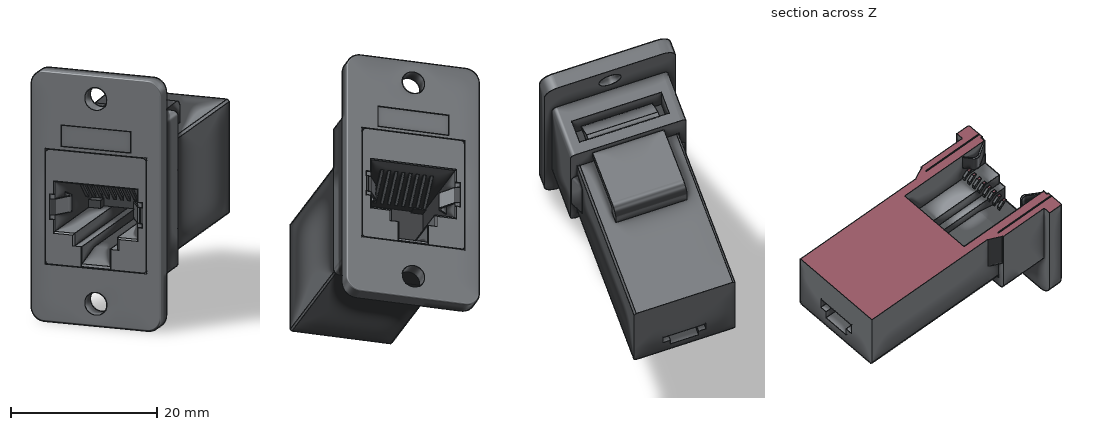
import cadquery as cq
import math


PLATE_WIDTH = 19.0
PLATE_HEIGHT = 35.5
PLATE_THICK = 2.27
PLATE_CORNER = 2.0
PLATE_EDGE_ROUND = 0.25
SCREW_DIAMETER = 3.2
SCREW_PITCH = 29.0

LABEL_WIDTH = 10.15
LABEL_BOTTOM = 7.3
LABEL_TOP = 10.33
LABEL_DEPTH = 0.18

HOUSING_WIDTH = 16.75
HOUSING_HEIGHT = 22.22
HOUSING_BACK = 9.8
HOUSING_ROUND = 0.75
BODY_GAP = 0.09
WINDOW_WIDTH = 13.0
WINDOW_FRONT = 4.95
WINDOW_BACK = 8.2

BODY_WIDTH = 14.63
BODY_TOP = 6.75
BODY_BOTTOM = -9.48
BODY_LENGTH = 33
BODY_TOP_CHAMFER = 0.32
BODY_BOTTOM_CHAMFER = 0.25

WEDGE_TOP = 3.55
WEDGE_BOTTOM = -6.4
WEDGE_HALF_WIDTH = 8.25
WEDGE_STRAIGHT = 0.1
WEDGE_LIP = 0.07
WEDGE_BACK = 11.68
WEDGE_ROUND = 1.05

CLIP_WIDTH = 10.33
CLIP_BACK = 19.4
CLIP_LEG = 1.53
CLIP_THICK = 1.42
CLIP_TOP = 10.2
CLIP_TILT = 2.2
CLIP_OUTER_ROUND = 1.6
CLIP_INNER_ROUND = 0.78
HOOK_BACK = 8.1
HOOK_CREST = 7.3
HOOK_TOP = 10.58
HOOK_NOSE = 5.05
HOOK_NOSE_TOP = 8.52

CAVITY_HALF = 6.0
CAVITY_TOP = 2.2
CAVITY_FLOOR = -4.83
CAVITY_DEPTH = 14.9
NOTCH_HALF = 3.105
NOTCH_FLOOR = -6.6
SLOT_HALF = 2.04
SLOT_FLOOR = -7.88
LEAD_IN = 0.15
LEAD_IN_WIDE = 0.25
RAMP_LIP = 0.35
RAMP_LENGTH = 4.85
RAMP_FRONT = -9.05

BLOCK_INNER = 4.3
BLOCK_LENGTH = 1.42
BLOCK_TOP_DROP = 0.2
BLOCK_BOTTOM_RISE = 1.1

CONTACT_COUNT = 8
CONTACT_SPAN = 7.1
CONTACT_WIDTH = 0.43
CONTACT_FRONT = 2.85
CONTACT_TIP = -1.28
CONTACT_SLOPE = 45
CONTACT_THICK = 0.55

POCKET_HALF = 6.75
POCKET_TOP = 0.43
POCKET_BOTTOM = -3.15
POCKET_DEPTH = 0.2
SPRING_TOP = -0.3
SPRING_BOTTOM = -2.55
SPRING_ROOT = (6.5, 0)
SPRING_KNEE = (6.0, 0.2)
SPRING_BEND = (4.83, 2.13)
SPRING_TIP = (4.55, 2.77)
SPRING_RETURN = (4.83, 3.4)
SPRING_BACK = 4.97
SPRING_SHEET = 0.3


def block(x_range, y_range, z_range):
    """Box spanning the given (low, high) pairs."""
    sizes = [high - low for low, high in (x_range, y_range, z_range)]
    corner = (x_range[0], y_range[0], z_range[0])
    return cq.Workplane("XY").box(*sizes, centered=False).translate(corner)


def centred_block(width, y_range, z_range):
    """Box centred on X = 0."""
    return block((-width / 2, width / 2), y_range, z_range)


def side_profile(points, width):
    """Prism centred on X = 0 from a (Y, Z) outline."""
    return cq.Workplane("YZ").polyline(points).close().extrude(width / 2, both=True)


def both_sides(shape):
    """The shape together with its mirror image across X = 0."""
    return shape.union(shape.mirror("YZ"))


def make_frame():
    plate = (
        centred_block(PLATE_WIDTH, (0, PLATE_THICK), (-PLATE_HEIGHT / 2, PLATE_HEIGHT / 2))
        .edges("|Y").fillet(PLATE_CORNER)
        .faces("<Y").edges().fillet(PLATE_EDGE_ROUND)
    )
    housing = (
        centred_block(HOUSING_WIDTH, (PLATE_THICK, HOUSING_BACK), (-HOUSING_HEIGHT / 2, HOUSING_HEIGHT / 2))
        .edges("|Y").fillet(HOUSING_ROUND)
    )
    opening = centred_block(
        BODY_WIDTH + 2 * BODY_GAP, (0, HOUSING_BACK), (BODY_BOTTOM - BODY_GAP, BODY_TOP + BODY_GAP)
    )
    window = centred_block(WINDOW_WIDTH, (WINDOW_FRONT, WINDOW_BACK), (BODY_TOP, HOUSING_HEIGHT / 2))
    label = centred_block(LABEL_WIDTH, (0, LABEL_DEPTH), (LABEL_BOTTOM, LABEL_TOP))
    screw_holes = (
        cq.Workplane("XZ")
        .pushPoints([(0, -SCREW_PITCH / 2), (0, SCREW_PITCH / 2)])
        .circle(SCREW_DIAMETER / 2)
        .extrude(-PLATE_THICK)
    )
    frame = plate.union(housing)
    for void in (opening, window, label, screw_holes):
        frame = frame.cut(void)
    return frame


def make_body():
    return (
        centred_block(BODY_WIDTH, (0, BODY_LENGTH), (BODY_BOTTOM, BODY_TOP))
        .edges("|Y and >Z").chamfer(BODY_TOP_CHAMFER)
        .edges("|Y and <Z").chamfer(BODY_BOTTOM_CHAMFER)
    )


def make_wedges():
    side = BODY_WIDTH / 2
    embedded = (side + CAVITY_HALF) / 2
    outline = [
        (embedded, HOUSING_BACK),
        (WEDGE_HALF_WIDTH, HOUSING_BACK),
        (WEDGE_HALF_WIDTH, HOUSING_BACK + WEDGE_STRAIGHT),
        (side + WEDGE_LIP, WEDGE_BACK),
        (embedded, WEDGE_BACK),
    ]
    wedge = (
        cq.Workplane("XY", origin=(0, 0, WEDGE_BOTTOM))
        .polyline(outline).close()
        .extrude(WEDGE_TOP - WEDGE_BOTTOM)
    )
    slope_middle = ((side + WEDGE_LIP + WEDGE_HALF_WIDTH) / 2, (HOUSING_BACK + WEDGE_BACK) / 2)
    for level in (WEDGE_TOP, WEDGE_BOTTOM):
        slope_end = cq.selectors.NearestToPointSelector((*slope_middle, level))
        wedge = wedge.edges(slope_end).fillet(WEDGE_ROUND)
    return both_sides(wedge)


def make_clip():
    slope = math.tan(math.radians(CLIP_TILT))

    def arm_top(y):
        return CLIP_TOP - slope * (CLIP_BACK - y)

    leg_front = CLIP_BACK - CLIP_LEG
    clip = side_profile(
        [
            (CLIP_BACK, BODY_TOP),
            (CLIP_BACK, arm_top(CLIP_BACK)),
            (HOOK_BACK, arm_top(HOOK_BACK)),
            (HOOK_BACK, HOOK_TOP),
            (HOOK_CREST, HOOK_TOP - slope * (HOOK_BACK - HOOK_CREST)),
            (HOOK_NOSE, HOOK_NOSE_TOP),
            (HOOK_NOSE, arm_top(HOOK_NOSE) - CLIP_THICK),
            (leg_front, arm_top(leg_front) - CLIP_THICK),
            (leg_front, BODY_TOP),
        ],
        CLIP_WIDTH,
    )
    outer_bend = cq.selectors.NearestToPointSelector((0, CLIP_BACK, arm_top(CLIP_BACK)))
    inner_bend = cq.selectors.NearestToPointSelector((0, leg_front, arm_top(leg_front) - CLIP_THICK))
    clip = clip.edges("|X").edges(outer_bend).fillet(CLIP_OUTER_ROUND)
    return clip.edges("|X").edges(inner_bend).fillet(CLIP_INNER_ROUND)


def stepped_outline(side, wide, lip, y):
    """Plug opening outline, grown by 'side', by 'wide' at the ledges and by 'lip' at the bottom."""
    half = [
        (CAVITY_HALF + side, CAVITY_TOP + side),
        (CAVITY_HALF + side, CAVITY_FLOOR - wide),
        (NOTCH_HALF + wide, CAVITY_FLOOR - wide),
        (NOTCH_HALF + wide, NOTCH_FLOOR),
        (SLOT_HALF + side, NOTCH_FLOOR),
        (SLOT_HALF + side, RAMP_FRONT - lip),
    ]
    mirrored = [(-x, z) for x, z in reversed(half)]
    return cq.Workplane("XZ", origin=(0, y, 0)).polyline(half + mirrored).close()


def make_cavity():
    plug_space = centred_block(2 * CAVITY_HALF, (0, CAVITY_DEPTH), (CAVITY_FLOOR, CAVITY_TOP))
    notch = centred_block(2 * NOTCH_HALF, (0, BODY_LENGTH), (NOTCH_FLOOR, CAVITY_FLOOR))
    slot = centred_block(2 * SLOT_HALF, (0, BODY_LENGTH), (SLOT_FLOOR, NOTCH_FLOOR))
    ramp = side_profile(
        [(LEAD_IN, SLOT_FLOOR), (LEAD_IN, RAMP_FRONT), (RAMP_LENGTH, SLOT_FLOOR)],
        2 * SLOT_HALF,
    )
    pockets = centred_block(2 * POCKET_HALF, (0, POCKET_DEPTH), (POCKET_BOTTOM, POCKET_TOP))
    front = stepped_outline(LEAD_IN, LEAD_IN_WIDE, RAMP_LIP, 0).val()
    back = stepped_outline(0, 0, 0, LEAD_IN).val()
    mouth = cq.Workplane(cq.Solid.makeLoft([front, back], True))
    cavity = plug_space
    for void in (notch, slot, ramp, mouth, pockets):
        cavity = cavity.union(void)
    return cavity


def make_corner_blocks():
    y_range = (CAVITY_DEPTH - BLOCK_LENGTH, CAVITY_DEPTH)
    x_range = (BLOCK_INNER, CAVITY_HALF)
    upper = block(x_range, y_range, (CAVITY_TOP - BLOCK_TOP_DROP, CAVITY_TOP))
    lower = block(x_range, y_range, (CAVITY_FLOOR, CAVITY_FLOOR + BLOCK_BOTTOM_RISE))
    return both_sides(upper.union(lower))


def make_contacts():
    slope = math.tan(math.radians(CONTACT_SLOPE))
    run = (CAVITY_TOP - CONTACT_TIP) / slope
    wire = side_profile(
        [
            (CONTACT_FRONT, CAVITY_TOP),
            (CONTACT_FRONT + run, CONTACT_TIP),
            (CONTACT_FRONT + run, CONTACT_TIP + CONTACT_THICK),
            (CONTACT_FRONT + CONTACT_THICK / slope, CAVITY_TOP),
        ],
        CONTACT_WIDTH,
    )
    contacts = cq.Workplane("XY")
    for index in range(CONTACT_COUNT):
        offset = CONTACT_SPAN * (index / (CONTACT_COUNT - 1) - 0.5)
        contacts = contacts.add(wire.translate((offset, 0, 0)))
    return contacts.combine()


def make_springs():
    bent_block = (
        cq.Workplane("XY", origin=(0, 0, SPRING_BOTTOM))
        .moveTo(*SPRING_ROOT)
        .lineTo(*SPRING_KNEE)
        .lineTo(*SPRING_BEND)
        .threePointArc(SPRING_TIP, SPRING_RETURN)
        .lineTo(POCKET_HALF, SPRING_BACK)
        .lineTo(POCKET_HALF, 0)
        .close()
        .extrude(SPRING_TOP - SPRING_BOTTOM)
    )
    leaf = bent_block.cut(bent_block.translate((SPRING_SHEET, 0, 0)))
    return both_sides(leaf)


jack = make_body().cut(make_cavity())
result = make_frame().union(jack)
for feature in (make_wedges(), make_clip(), make_corner_blocks(), make_contacts(), make_springs()):
    result = result.union(feature)